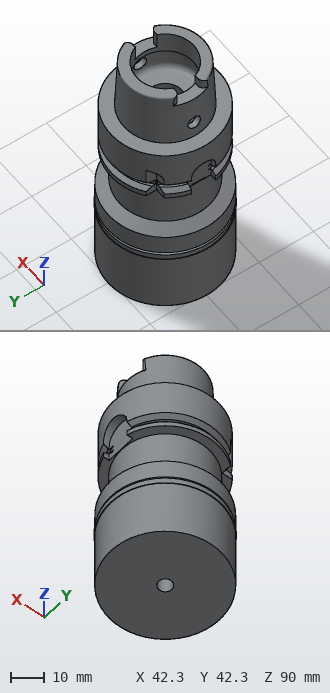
import cadquery as cq
total_height = 90.0
shank_base_z = 70.0
flange_edge_z = 56.2
groove_top_z = 55.0
groove_bottom_z = 53.0
rim_edge_z = 51.9
flange_bottom_z = 50.0
collar_cone_top_z = 35.0
collar_edge_z = 32.5
collar_bottom_z = 25.2
nut_top_z = 24.4
nut_ring_bottom_z = 22.2

shank_base_radius = 15.1
shank_top_radius = 14.2
shank_edge_round = 0.6
flange_radius = 20.0
groove_radius = 17.4
groove_cone_radius = 18.3
column_radius = 16.8
collar_radius = 21.0
neck_radius = 16.3

lip_bore_radius = 10.4
lip_length = 8.0
cavity_radius = 12.8
cavity_floor_z = 72.0
cavity_floor_round = 2.0
core_bore_radius = 6.0

drive_slot_width = 8.0
drive_slot_round = 2.0
drive_flat_x = 12.9
left_drive_depth = 3.5
right_drive_depth = 5.9

cross_hole_diameter = 4.6
cross_hole_z = 76.05

key_slot_top_z = 62.1
key_floor_x = 17.0
left_key_width = 8.8
right_key_width = 11.0
notch_y = 16.4
notch_floor_x = 12.15

nut_radius = 21.0
nut_ring_radius = 21.15
nut_bore_radius = 2.5


def cylinder(radius, bottom_z, top_z):
    return cq.Workplane("XY").workplane(offset=bottom_z).circle(radius).extrude(top_z - bottom_z)


def holder_blank():
    """Shank, grooved flange, column, collar and neck turned in one profile."""
    profile = [
        (0, nut_top_z),
        (neck_radius, nut_top_z),
        (neck_radius, collar_bottom_z),
        (collar_radius, collar_bottom_z),
        (collar_radius, collar_edge_z),
        (column_radius, collar_cone_top_z),
        (column_radius, flange_bottom_z),
        (flange_radius, flange_bottom_z),
        (flange_radius, rim_edge_z),
        (groove_cone_radius, groove_bottom_z),
        (groove_radius, groove_bottom_z),
        (groove_radius, groove_top_z),
        (groove_cone_radius, groove_top_z),
        (flange_radius, flange_edge_z),
        (flange_radius, shank_base_z),
        (shank_base_radius, shank_base_z),
        (shank_top_radius, total_height),
        (0, total_height),
    ]
    blank = cq.Workplane("XZ").polyline(profile).close().revolve(360, (0, 0), (0, 1))
    return blank.faces(">Z").edges().fillet(shank_edge_round)


def holder_bores():
    lip_bottom_z = total_height - lip_length
    lip_bore = cylinder(lip_bore_radius, lip_bottom_z, total_height)
    cavity = cylinder(cavity_radius, cavity_floor_z, lip_bottom_z)
    cavity = cavity.faces("<Z").edges().fillet(cavity_floor_round)
    core_bore = cylinder(core_bore_radius, nut_top_z, cavity_floor_z)
    return lip_bore.union(cavity).union(core_bore)


def drive_slot(side, depth):
    """Slot through the shank wall with rounded mouth and a flat on either side; side is +1 or -1."""
    half_width = drive_slot_width / 2
    arc_end_y = half_width + drive_slot_round
    arc_start_x = drive_flat_x - drive_slot_round
    outer = flange_radius
    floor = cq.Workplane("XY").workplane(offset=total_height - depth)
    outline = (
        floor.moveTo(0, -half_width)
        .lineTo(side * arc_start_x, -half_width)
        .radiusArc((side * drive_flat_x, -arc_end_y), side * drive_slot_round)
        .lineTo(side * drive_flat_x, -outer)
        .lineTo(side * outer, -outer)
        .lineTo(side * outer, outer)
        .lineTo(side * drive_flat_x, outer)
        .lineTo(side * drive_flat_x, arc_end_y)
        .radiusArc((side * arc_start_x, half_width), side * drive_slot_round)
        .lineTo(0, half_width)
        .close()
    )
    return outline.extrude(depth)


def cross_hole():
    hole = cq.Workplane("YZ").center(0, cross_hole_z).circle(cross_hole_diameter / 2)
    return hole.extrude(flange_radius, both=True)


def key_slot(side, center_y, width, floor_x):
    """Round-topped slot open at the flange's bottom and outer side; side is +1 or -1."""
    half_width = width / 2
    arch_z = key_slot_top_z - half_width
    outline = (
        cq.Workplane("YZ").workplane(offset=side * floor_x)
        .moveTo(center_y - half_width, flange_bottom_z)
        .lineTo(center_y - half_width, arch_z)
        .threePointArc((center_y, key_slot_top_z), (center_y + half_width, arch_z))
        .lineTo(center_y + half_width, flange_bottom_z)
        .close()
    )
    return outline.extrude(side * (flange_radius - floor_x))


def make_holder():
    return (
        holder_blank()
        .cut(holder_bores())
        .cut(drive_slot(-1, left_drive_depth))
        .cut(drive_slot(1, right_drive_depth))
        .cut(cross_hole())
        .cut(key_slot(-1, 0, left_key_width, key_floor_x))
        .cut(key_slot(1, 0, right_key_width, key_floor_x))
        .cut(key_slot(-1, notch_y, left_key_width, notch_floor_x))
    )


def make_nut():
    barrel = cylinder(nut_radius, 0, nut_ring_bottom_z)
    ring = cylinder(nut_ring_radius, nut_ring_bottom_z, nut_top_z)
    bore = cylinder(nut_bore_radius, 0, nut_top_z)
    return barrel.union(ring).cut(bore)


holder = make_holder()
nut = make_nut()

result = cq.Compound.makeCompound([holder.val(), nut.val()])